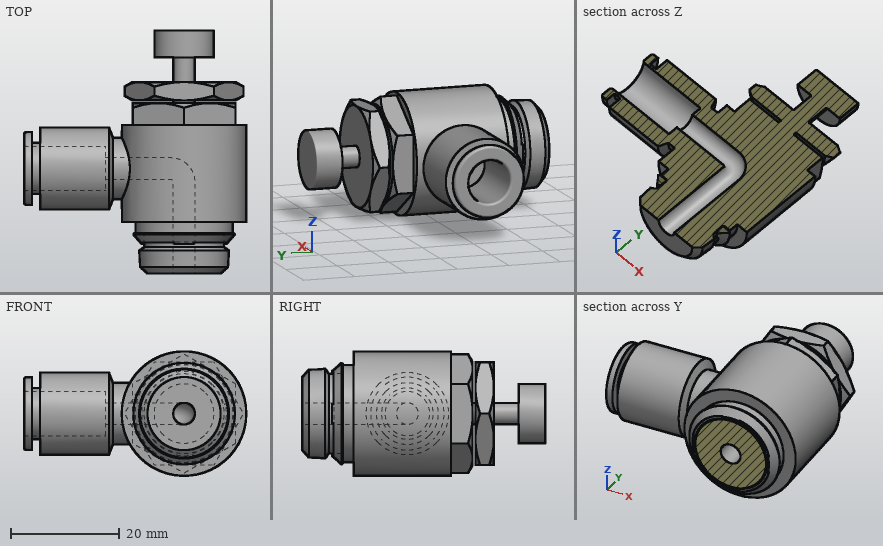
import cadquery as cq
import math


barrel_radius = 11.5
barrel_back = 8.05
barrel_front = -9.9

hex_across_flats = 19.0
hex_chamfer_angle = 30.0
head_height = 4.0
nut_gap = 0.5
nut_height = 3.4
head_top = barrel_back + head_height
nut_bottom = head_top + nut_gap
nut_top = nut_bottom + nut_height

stem_radius = 2.0
stem_free_length = 4.55
knob_radius = 5.5
knob_height = 4.95
knob_edge_fillet = 0.15
knob_bottom = nut_top + stem_free_length

collar_radius = 9.0
collar_length = 2.0
groove_radius = 7.37
groove_end = 4.58
thread_start = 5.25
thread_start_radius = 8.3
thread_end = 8.23
thread_end_radius = 8.13
spigot_length = 9.5
spigot_end_radius = 6.75

gasket_top_radius = 9.15
gasket_radius = 9.37
gasket_widest = 2.27
lip_radius = 7.8
lip_end = 4.03
lip_underside = 3.65
lug_count = 4
lug_angle = 26.0
relief_depth = 3.75

port_end = -29.5
release_flange_radius = 6.75
release_flange_width = 1.5
release_neck_radius = 4.75
release_neck_length = 1.45
sleeve_radius = 7.6
sleeve_length = 13.45
sleeve_chamfer_length = 0.75
stub_radius = 5.7
port_edge_fillet = 0.5

tube_bore_radius = 4.1
tube_bore_depth = 15.0
passage_radius = 2.0
passage_bend_radius = 2.5


def turned_on_y(points, angle=360.0):
    """Solid turned about the Y axis from (radius, y) points."""
    return cq.Workplane("XY").polyline(points).close().revolve(angle, (0, 0, 0), (0, 1, 0))


def disc_on_y(radius, y_start, y_end):
    return turned_on_y([(0, y_start), (radius, y_start), (radius, y_end), (0, y_end)])


def hexagon(y_start, y_end, corner_turn, chamfer_start):
    """Hexagon along Y, with 30 degree corner chamfers at its end or at both ends."""
    flat_radius = hex_across_flats / 2
    corner_radius = flat_radius / math.cos(math.radians(30))
    drop = (corner_radius - flat_radius) * math.tan(math.radians(hex_chamfer_angle))
    prism = (
        cq.Workplane("XZ", origin=(0, y_start, 0))
        .polygon(6, 2 * corner_radius)
        .extrude(y_start - y_end)
        .rotate((0, 0, 0), (0, 1, 0), corner_turn)
    )
    envelope = [(0, y_end), (flat_radius, y_end), (corner_radius, y_end - drop)]
    if chamfer_start:
        envelope += [(corner_radius, y_start + drop), (flat_radius, y_start)]
    else:
        envelope += [(corner_radius, y_start)]
    envelope.append((0, y_start))
    return prism.intersect(turned_on_y(envelope))


def make_spigot():
    """Collar, gasket groove and tapered thread at the front of the barrel."""
    outline = [
        (0, 0),
        (collar_radius, 0),
        (collar_radius, collar_length),
        (groove_radius, collar_length),
        (groove_radius, groove_end),
        (thread_start_radius, thread_start),
        (thread_end_radius, thread_end),
        (spigot_end_radius, spigot_length),
        (0, spigot_length),
    ]
    return turned_on_y([(radius, barrel_front - depth) for radius, depth in outline])


def make_port():
    """Tube port with its release collar, turned about the X axis."""
    flange_end = port_end + release_flange_width
    sleeve_start = flange_end + release_neck_length
    sleeve_end = sleeve_start + sleeve_length
    return (
        cq.Workplane("XY")
        .moveTo(port_end, 0)
        .lineTo(port_end, release_flange_radius - port_edge_fillet)
        .radiusArc((port_end + port_edge_fillet, release_flange_radius), port_edge_fillet)
        .lineTo(flange_end, release_flange_radius)
        .lineTo(flange_end, release_neck_radius)
        .lineTo(sleeve_start, release_neck_radius)
        .lineTo(sleeve_start, sleeve_radius)
        .lineTo(sleeve_end - sleeve_chamfer_length, sleeve_radius)
        .lineTo(sleeve_end, stub_radius)
        .lineTo(0, stub_radius)
        .lineTo(0, 0)
        .close()
        .revolve(360, (0, 0, 0), (1, 0, 0))
    )


def make_tube_bore():
    """Tube socket with a rounded mouth."""
    bottom = port_end + tube_bore_depth
    mouth_radius = tube_bore_radius + port_edge_fillet
    return (
        cq.Workplane("XY")
        .moveTo(port_end, 0)
        .lineTo(port_end, mouth_radius)
        .radiusArc((port_end + port_edge_fillet, tube_bore_radius), -port_edge_fillet)
        .lineTo(bottom, tube_bore_radius)
        .lineTo(bottom, 0)
        .close()
        .revolve(360, (0, 0, 0), (1, 0, 0))
    )


def make_passage():
    """Flow passage from the tube socket to the threaded end, rounded through the elbow."""
    path = (
        cq.Workplane("XY")
        .moveTo(port_end, 0)
        .lineTo(-passage_bend_radius, 0)
        .radiusArc((0, -passage_bend_radius), passage_bend_radius)
        .lineTo(0, barrel_front - spigot_length)
    )
    return cq.Workplane("YZ", origin=(port_end, 0, 0)).circle(passage_radius).sweep(path)


def make_knob():
    knob = disc_on_y(knob_radius, knob_bottom, knob_bottom + knob_height)
    return knob.faces(">Y").edges().fillet(knob_edge_fillet)


def make_fitting():
    return (
        disc_on_y(barrel_radius, barrel_front, barrel_back)
        .union(make_port())
        .union(make_spigot())
        .union(hexagon(barrel_back, head_top, 30, chamfer_start=False))
        .union(disc_on_y(stem_radius, barrel_back, knob_bottom))
        .union(hexagon(nut_bottom, nut_top, 0, chamfer_start=True))
        .union(make_knob())
        .cut(make_tube_bore())
        .cut(make_passage())
    )


def make_gasket():
    """Conical gasket seated in the groove; reliefs in its lip leave four small lugs."""
    ring_outline = [
        (groove_radius, collar_length),
        (gasket_top_radius, collar_length),
        (gasket_radius, gasket_widest),
        (lip_radius, lip_end),
        (groove_radius, lip_underside),
    ]
    relief_outline = [
        (groove_radius, relief_depth),
        (gasket_radius, relief_depth),
        (gasket_radius, lip_end),
        (groove_radius, lip_end),
    ]
    lug_spacing = 360 / lug_count
    gasket = turned_on_y([(radius, barrel_front - depth) for radius, depth in ring_outline])
    relief = turned_on_y(
        [(radius, barrel_front - depth) for radius, depth in relief_outline],
        lug_spacing - lug_angle,
    )
    for index in range(lug_count):
        turn = index * lug_spacing + lug_angle / 2
        gasket = gasket.cut(relief.rotate((0, 0, 0), (0, 1, 0), turn))
    return gasket


fitting = make_fitting()
gasket = make_gasket()

result = cq.Compound.makeCompound([fitting.val(), gasket.val()])